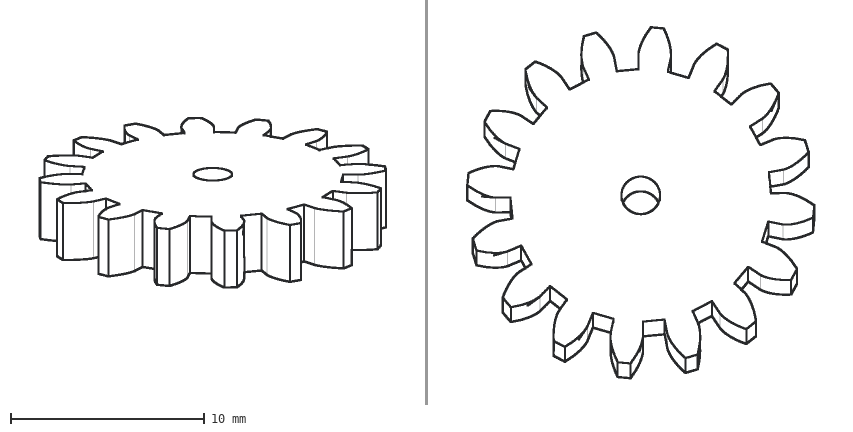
import cadquery as cq
import math

module = 1.0
tooth_count = 16
pressure_angle = math.radians(20)
thickness = 3.12
bore_diameter = 2.0
addendum_factor = 1.0
dedendum_factor = 1.25

pitch_radius = module * tooth_count / 2
base_radius = pitch_radius * math.cos(pressure_angle)
tip_radius = pitch_radius + addendum_factor * module
root_radius = pitch_radius - dedendum_factor * module

tooth_pitch = 2 * math.pi / tooth_count
pitch_involute = math.tan(pressure_angle) - pressure_angle
base_half_angle = tooth_pitch / 4 + pitch_involute

tip_roll = math.sqrt((tip_radius / base_radius) ** 2 - 1)
flank_segments = 6


def polar(radius, angle):
    """Point at the given radius and angle about the gear axis."""
    return (radius * math.cos(angle), radius * math.sin(angle))


def involute_flank(axis_angle, side):
    """Flank points from base to tip circle; side is -1 or +1 from the tooth axis."""
    points = []
    for step in range(flank_segments + 1):
        roll = tip_roll * step / flank_segments
        radius = base_radius * math.sqrt(1 + roll ** 2)
        half_angle = base_half_angle - (roll - math.atan(roll))
        points.append(polar(radius, axis_angle + side * half_angle))
    return points


def add_tooth(outline, axis_angle):
    """Draw one tooth and the flat gap after it, starting at the tooth's root corner."""
    rising_flank = involute_flank(axis_angle, -1)
    falling_flank = involute_flank(axis_angle, 1)[::-1]
    outline = outline.lineTo(*rising_flank[0])
    outline = outline.spline(rising_flank[1:], includeCurrent=True)
    outline = outline.lineTo(*falling_flank[0])
    outline = outline.spline(falling_flank[1:], includeCurrent=True)
    outline = outline.lineTo(*polar(root_radius, axis_angle + base_half_angle))
    return outline.lineTo(*polar(root_radius, axis_angle + tooth_pitch - base_half_angle))


def gear_blank():
    """Toothed disc with radial flanks below the base circle."""
    outline = cq.Workplane("XY").moveTo(*polar(root_radius, -base_half_angle))
    for tooth in range(tooth_count):
        outline = add_tooth(outline, tooth * tooth_pitch)
    return outline.close().extrude(thickness)


def bore():
    """Shaft bore through the full thickness."""
    return cq.Workplane("XY").circle(bore_diameter / 2).extrude(thickness)


result = gear_blank().cut(bore())